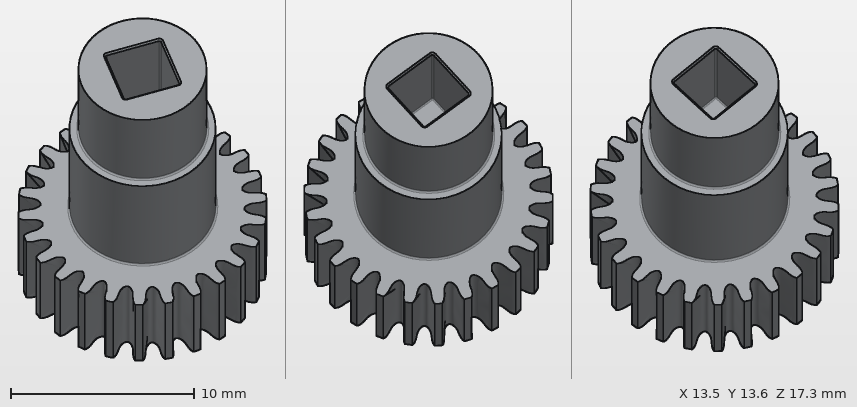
import cadquery as cq
import math

tooth_count = 26
tip_radius = 6.8
root_radius = 5.57
gear_height = 5.0

tip_half_thickness = 0.2
mid_flank_radius = 6.35
mid_flank_half_thickness = 0.35
flank_base_radius = 5.78
flank_base_half_thickness = 0.43

total_height = 17.3
body_diameter = 8.0
end_diameter = 7.0
body_height = 7.0
end_height = total_height - gear_height - body_height
step_fillet = 0.1

socket_width = 3.2
socket_depth = end_height
socket_corner_fillet = 0.1
socket_floor_fillet = 0.07
socket_chamfer = 0.1


def polar_point(radius, angle):
    """Point at an angle measured clockwise from +Y."""
    return (radius * math.sin(angle), radius * math.cos(angle))


def flank_point(tooth_angle, radius, half_thickness, side):
    """Point on the trailing (-1) or leading (+1) flank of a tooth."""
    return polar_point(radius, tooth_angle + side * math.asin(half_thickness / radius))


def make_gear():
    """Gear with one tooth centred on +Y and rounded gaps between teeth."""
    pitch_angle = 2 * math.pi / tooth_count
    outline = cq.Workplane("XY").moveTo(
        *flank_point(0, tip_radius, tip_half_thickness, -1)
    )
    for index in range(tooth_count):
        angle = index * pitch_angle
        next_angle = angle + pitch_angle
        outline = (
            outline
            .threePointArc(
                polar_point(tip_radius, angle),
                flank_point(angle, tip_radius, tip_half_thickness, 1),
            )
            .spline(
                [
                    flank_point(angle, mid_flank_radius, mid_flank_half_thickness, 1),
                    flank_point(angle, flank_base_radius, flank_base_half_thickness, 1),
                    polar_point(root_radius, angle + pitch_angle / 2),
                    flank_point(next_angle, flank_base_radius, flank_base_half_thickness, -1),
                    flank_point(next_angle, mid_flank_radius, mid_flank_half_thickness, -1),
                    flank_point(next_angle, tip_radius, tip_half_thickness, -1),
                ],
                includeCurrent=True,
            )
        )
    return outline.close().extrude(gear_height)


def make_cylinder(diameter, base_z, height):
    """Shank section with a small fillet flaring out at its foot."""
    radius = diameter / 2
    fillet_middle = step_fillet * (1 - math.sqrt(0.5))
    return (
        cq.Workplane("XZ")
        .moveTo(0, base_z)
        .lineTo(radius + step_fillet, base_z)
        .threePointArc(
            (radius + fillet_middle, base_z + fillet_middle),
            (radius, base_z + step_fillet),
        )
        .lineTo(radius, base_z + height)
        .lineTo(0, base_z + height)
        .close()
        .revolve(360, (0, 0, 0), (0, 1, 0))
    )


def make_socket():
    """Blind square pocket with rounded corners and floor edge, opening at the top."""
    return (
        cq.Workplane("XY")
        .workplane(offset=total_height - socket_depth)
        .rect(socket_width, socket_width)
        .extrude(socket_depth)
        .edges("|Z")
        .fillet(socket_corner_fillet)
        .faces("<Z")
        .edges()
        .fillet(socket_floor_fillet)
    )


shank_body = make_cylinder(body_diameter, gear_height, body_height)
shank_end = make_cylinder(end_diameter, gear_height + body_height, end_height)
result = make_gear().union(shank_body).union(shank_end).cut(make_socket())

socket_rim = result.faces(">Z").edges().filter(
    lambda edge: edge.Length() <= socket_width
)
result = socket_rim.chamfer(socket_chamfer)